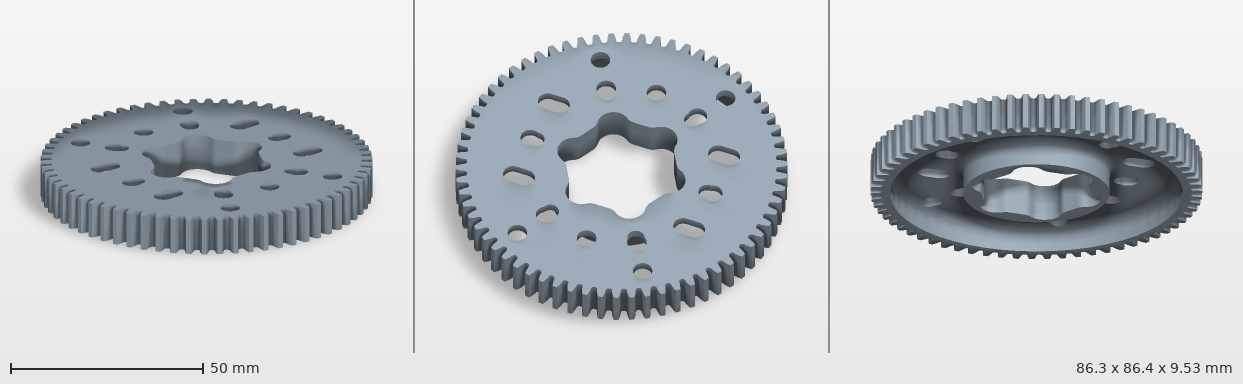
import cadquery as cq
import math

INCH = 25.4

TOOTH_COUNT = 66
DIAMETRAL_PITCH = 20
PRESSURE_ANGLE = math.radians(14.5)
FACE_WIDTH = 0.375 * INCH
MIDDLE_TOOTH_ANGLE = math.pi / 2

addendum = INCH / DIAMETRAL_PITCH
dedendum = 1.35 * addendum
pitch_radius = TOOTH_COUNT * addendum / 2
tip_radius = pitch_radius + addendum
root_radius = pitch_radius - dedendum
base_radius = pitch_radius * math.cos(PRESSURE_ANGLE)
tooth_spacing = 2 * math.pi / TOOTH_COUNT

BORE_FLAT_DISTANCE = 14.2
LOBE_RADIUS = 4.25
LOBE_CIRCLE_RADIUS = 13.3
LOBE_BLEND_RADIUS = INCH / 8
CORNER_ANGLES = (30, 90, 150, 210, 270, 330)

WEB_THICKNESS = 3 * INCH / 32
HUB_RADIUS = 0.75 * INCH
RIM_INNER_RADIUS = 1.5 * INCH
RECESS_FILLET = 3 * INCH / 32

BOLT_HOLE_RADIUS = 0.201 * INCH / 2
BOLT_CIRCLE_RADIUS = INCH
OUTER_BOLT_CIRCLE_RADIUS = 34.85
SMALL_HOLE_RADIUS = 0.175 * INCH / 2
SMALL_HOLE_CIRCLE_RADIUS = 1.875 * INCH / 2
SIDE_HOLE_ANGLES = (0, 180)
OUTER_HOLE_ANGLES = (30, 150, 210, 330)

slot_x = BOLT_CIRCLE_RADIUS / 2
slot_inner_y = BOLT_CIRCLE_RADIUS * math.cos(math.radians(30))
slot_outer_y = BOLT_CIRCLE_RADIUS


def polar(radius, angle):
    """Point at a radius and an angle in radians."""
    return (radius * math.cos(angle), radius * math.sin(angle))


def on_circle(radius, angles):
    """Points on a circle about the gear axis, at angles in degrees."""
    return [polar(radius, math.radians(angle)) for angle in angles]


def involute(radius):
    """Involute function of the base circle at a radius."""
    pressure = math.acos(base_radius / radius)
    return math.tan(pressure) - pressure


def tooth_half_angle(radius):
    """Half the angle that a tooth spans at a radius."""
    return tooth_spacing / 4 + involute(pitch_radius) - involute(radius)


def through_holes(points, radius):
    """Round cutters as tall as the gear."""
    return cq.Workplane("XY").pushPoints(points).circle(radius).extrude(FACE_WIDTH)


def gear_blank():
    """Toothed disc with involute flanks and rounded roots."""
    base_half = tooth_half_angle(base_radius)
    pitch_half = tooth_half_angle(pitch_radius)
    tip_half = tooth_half_angle(tip_radius)

    outline = cq.Workplane("XY").moveTo(*polar(base_radius, MIDDLE_TOOTH_ANGLE - base_half))
    for tooth in range(TOOTH_COUNT):
        center = MIDDLE_TOOTH_ANGLE + tooth * tooth_spacing
        gap_center = center + tooth_spacing / 2
        next_center = center + tooth_spacing
        outline = (
            outline
            .threePointArc(polar(pitch_radius, center - pitch_half), polar(tip_radius, center - tip_half))
            .threePointArc(polar(tip_radius, center), polar(tip_radius, center + tip_half))
            .threePointArc(polar(pitch_radius, center + pitch_half), polar(base_radius, center + base_half))
            .threePointArc(polar(root_radius, gap_center), polar(base_radius, next_center - base_half))
        )
    return outline.close().extrude(FACE_WIDTH)


def underside_recess():
    """Ring cutter between the hub and the rim, rounded where they meet the web."""
    ring = cq.Workplane("XY").circle(RIM_INNER_RADIUS).circle(HUB_RADIUS)
    return ring.extrude(FACE_WIDTH - WEB_THICKNESS).faces(">Z").edges().fillet(RECESS_FILLET)


def lobed_bore():
    """Cutter for the central bore, with each lobe blended into the flats."""
    corner_radius = BORE_FLAT_DISTANCE / math.cos(math.radians(30))
    hexagon = cq.Workplane("XY").polyline(on_circle(corner_radius, CORNER_ANGLES)).close().extrude(FACE_WIDTH)
    lobes = through_holes(on_circle(LOBE_CIRCLE_RADIUS, CORNER_ANGLES), LOBE_RADIUS)
    return hexagon.union(lobes).edges("|Z").fillet(LOBE_BLEND_RADIUS)


def vertical_slots():
    """Four slots along Y, each running between two bolt positions."""
    middle_y = (slot_inner_y + slot_outer_y) / 2
    length = slot_outer_y - slot_inner_y + 2 * BOLT_HOLE_RADIUS
    centers = [(x, y) for x in (-slot_x, slot_x) for y in (-middle_y, middle_y)]
    slots = cq.Workplane("XY").pushPoints(centers).slot2D(length, 2 * BOLT_HOLE_RADIUS, 90)
    return slots.extrude(FACE_WIDTH)


def egg_holes():
    """Bolt holes that each overlap a smaller hole on a smaller bolt circle."""
    bolt_holes = through_holes(on_circle(BOLT_CIRCLE_RADIUS, CORNER_ANGLES), BOLT_HOLE_RADIUS)
    small_holes = through_holes(on_circle(SMALL_HOLE_CIRCLE_RADIUS, CORNER_ANGLES), SMALL_HOLE_RADIUS)
    return bolt_holes.union(small_holes)


side_holes = through_holes(on_circle(BOLT_CIRCLE_RADIUS, SIDE_HOLE_ANGLES), BOLT_HOLE_RADIUS)
outer_holes = through_holes(on_circle(OUTER_BOLT_CIRCLE_RADIUS, OUTER_HOLE_ANGLES), BOLT_HOLE_RADIUS)

result = gear_blank()
for cutter in (underside_recess(), lobed_bore(), vertical_slots(), egg_holes(), side_holes, outer_holes):
    result = result.cut(cutter)